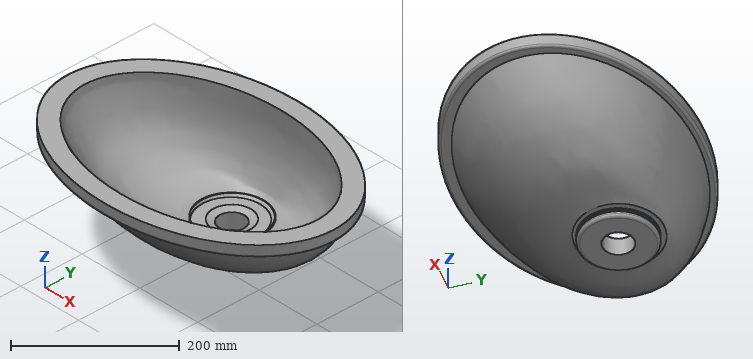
import cadquery as cq

rim_length = 457.7
rim_width = 316.8
rim_thickness = 18.0
rim_rounding = 3.0

total_height = 148.0
drain_y = 50.5

outer_levels = [
    (0.0, 220.5, 151.0, -151.0),
    (20.5, 212.5, 149.0, -141.0),
    (43.5, 198.5, 146.0, -127.0),
    (68.5, 181.0, 140.5, -107.5),
    (93.5, 154.5, 132.5, -83.0),
    (114.5, 122.5, 122.0, -53.0),
    (126.5, 92.5, 116.3, -29.0),
    (135.5, 57.5, 107.5, -4.0),
]
outer_depth = outer_levels[-1][0]
inner_depth = 115.5
side_wall = 20.5
bottom_wall = 5.5

boss_radius = 50.5
boss_rounding = 4.0
boss_overlap = 18.5
groove_top = 138.0
groove_height = 2.7
groove_inset = 0.7
collar_radius = 51.0
seat_radius = 48.0
seat_offset = 2.0
seat_depth = 118.5
dish_radius = 31.0
dish_depth = 3.5
hole_radius = 20.0


def loft_ellipses(levels):
    """Smooth solid through horizontal ellipses symmetric about the YZ plane."""
    wires = []
    for depth, half_length, back, front in levels:
        center = cq.Vector(0, (back + front) / 2, -depth)
        half_width = (back - front) / 2
        wires.append(
            cq.Wire.makeEllipse(
                half_length, half_width, center, cq.Vector(0, 0, 1), cq.Vector(1, 0, 0)
            )
        )
    return cq.Workplane(obj=cq.Solid.makeLoft(wires))


def inner_level(level):
    """Move an outside ellipse up and inward, with the wall thinning toward the drain."""
    depth, half_length, back, front = level
    fraction = depth / outer_depth
    wall = side_wall + (bottom_wall - side_wall) * fraction
    return (inner_depth * fraction, half_length - wall, back - wall, front + wall)


def make_rim():
    rim = cq.Workplane("XY").ellipse(rim_length / 2, rim_width / 2).extrude(-rim_thickness)
    return rim.faces("<Z").edges().fillet(rim_rounding)


def make_boss():
    boss_height = total_height - outer_depth + boss_overlap
    boss = (
        cq.Workplane("XY", origin=(0, drain_y, -total_height))
        .circle(boss_radius)
        .extrude(boss_height)
    )
    groove = (
        cq.Workplane("XY", origin=(0, drain_y, -groove_top))
        .circle(boss_radius)
        .circle(boss_radius - groove_inset)
        .extrude(-groove_height)
    )
    return boss.faces("<Z").edges().fillet(boss_rounding).cut(groove)


def make_seat_cut():
    """Sloped collar running down to a flat seat that sits slightly toward the front."""
    collar = cq.Wire.makeCircle(
        collar_radius, cq.Vector(0, drain_y, -inner_depth), cq.Vector(0, 0, 1)
    )
    seat = cq.Wire.makeCircle(
        seat_radius, cq.Vector(0, drain_y - seat_offset, -seat_depth), cq.Vector(0, 0, 1)
    )
    return cq.Workplane(obj=cq.Solid.makeLoft([collar, seat], True))


def make_drain_cut():
    """Shallow conical dish and through hole, revolved about the drain axis."""
    return (
        cq.Workplane("XZ", origin=(0, drain_y, 0))
        .moveTo(0, -seat_depth)
        .lineTo(dish_radius, -seat_depth)
        .lineTo(hole_radius, -seat_depth - dish_depth)
        .lineTo(hole_radius, -total_height)
        .lineTo(0, -total_height)
        .close()
        .revolve(360, (0, 0, 0), (0, 1, 0))
    )


outer_bowl = loft_ellipses(outer_levels)
inner_bowl = loft_ellipses([inner_level(level) for level in outer_levels])

body = make_rim().union(outer_bowl).union(make_boss())
result = body.cut(inner_bowl).cut(make_seat_cut()).cut(make_drain_cut())